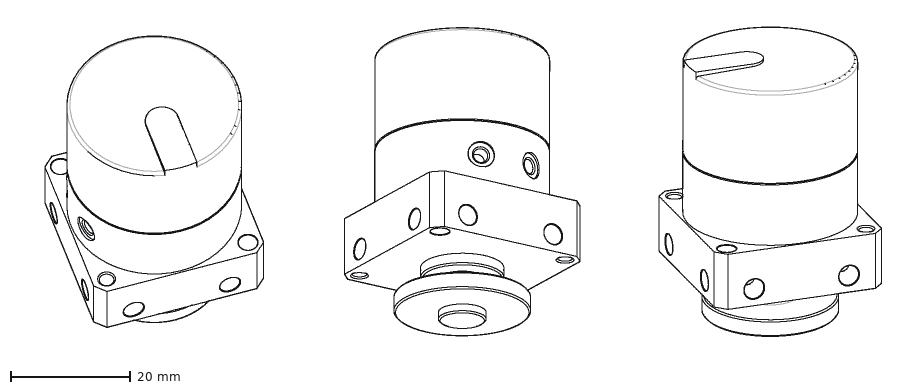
import cadquery as cq
import math

SHAFT_DIA = 8.0
SHAFT_TOP_Z = 7.5
SHAFT_END_CHAMFER = 0.3
FLANGE_DIA = 23.0
FLANGE_BOTTOM_Z = 1.5
FLANGE_TOP_Z = 4.5
FLANGE_CHAMFER = 0.3
FLANGE_FILLET = 0.6

COLLAR_DIA = 14.0
COLLAR_CHAMFER = 0.3
BASE_BOTTOM_Z = 9.45
BASE_SIDE = 30.0
BASE_HEIGHT = 10.0
BASE_CORNER_CHAMFER = 1.8
BASE_TOP_Z = BASE_BOTTOM_Z + BASE_HEIGHT
BARREL_DIA = 29.4
BARREL_RADIUS = BARREL_DIA / 2
RING_HEIGHT = 11.1
GROOVE_Z = BASE_TOP_Z + RING_HEIGHT
GROOVE_DEPTH = 0.15
CAP_EDGE_Z = 46.65
CAP_ROUND = 0.55
CAP_RIM_Z = CAP_EDGE_Z + CAP_ROUND
CAP_APEX_Z = 47.7

POINTER_TOP_Z = 48.0
POINTER_WIDTH = 5.65
POINTER_TIP_X = 1.4

CORNER_HOLE_OFFSET = 12.5
THREADED_HOLE_DIA = 2.45
THREADED_HOLE_MOUTH_DIA = 3.0
CLEARANCE_HOLE_DIA = 3.2
CLEARANCE_HOLE_MOUTH_DIA = 3.4
CROSS_HOLE_OFFSET = 8.5
CROSS_HOLE_Z = BASE_BOTTOM_Z + 3.0
CROSS_HOLE_DIA = 3.5
CROSS_HOLE_MOUTH_DIA = 3.75

PORT_ANGLE = 20.0
PORT_Z = BASE_TOP_Z + 5.05
PORT_SEAT_DIA = 4.5
PORT_SEAT_DEPTH = 0.5
PORT_DIA = 2.45
PORT_MOUTH_DIA = 3.0
PORT_DEPTH = 3.0


def make_shaft():
    """Shaft with a round flange, resting against the underside of the collar."""
    radius = SHAFT_DIA / 2
    end_radius = radius - SHAFT_END_CHAMFER
    flange_radius = FLANGE_DIA / 2
    flange_face_radius = flange_radius - FLANGE_CHAMFER
    fillet_reach = FLANGE_FILLET * (1 - math.sqrt(0.5))
    return (
        cq.Workplane("XZ")
        .moveTo(0, 0)
        .lineTo(end_radius, 0)
        .lineTo(radius, SHAFT_END_CHAMFER)
        .lineTo(radius, FLANGE_BOTTOM_Z)
        .lineTo(flange_face_radius, FLANGE_BOTTOM_Z)
        .lineTo(flange_radius, FLANGE_BOTTOM_Z + FLANGE_CHAMFER)
        .lineTo(flange_radius, FLANGE_TOP_Z - FLANGE_CHAMFER)
        .lineTo(flange_face_radius, FLANGE_TOP_Z)
        .lineTo(radius + FLANGE_FILLET, FLANGE_TOP_Z)
        .threePointArc(
            (radius + fillet_reach, FLANGE_TOP_Z + fillet_reach),
            (radius, FLANGE_TOP_Z + FLANGE_FILLET),
        )
        .lineTo(radius, SHAFT_TOP_Z - SHAFT_END_CHAMFER)
        .lineTo(end_radius, SHAFT_TOP_Z)
        .lineTo(0, SHAFT_TOP_Z)
        .close()
        .revolve(360, (0, 0, 0), (0, 1, 0))
    )


def make_hole(diameter, length, mouth_diameter):
    """Cutter along +Z from the origin, with a 45 degree countersink at its start."""
    radius = diameter / 2
    mouth_radius = mouth_diameter / 2
    return (
        cq.Workplane("XZ")
        .moveTo(0, 0)
        .lineTo(mouth_radius, 0)
        .lineTo(radius, mouth_radius - radius)
        .lineTo(radius, length)
        .lineTo(0, length)
        .close()
        .revolve(360, (0, 0, 0), (0, 1, 0))
    )


def make_through_hole(diameter, length, mouth_diameter):
    """Cutter centred on the origin along Z, countersunk at both ends."""
    half = make_hole(diameter, length / 2, mouth_diameter).translate((0, 0, -length / 2))
    return half.union(half.mirror("XY"))


def make_base():
    """Square block with chamfered corners, corner holes and cross holes."""
    base = (
        cq.Workplane("XY")
        .workplane(offset=BASE_BOTTOM_Z)
        .rect(BASE_SIDE, BASE_SIDE)
        .extrude(BASE_HEIGHT)
        .edges("|Z")
        .chamfer(BASE_CORNER_CHAMFER)
    )

    middle_z = BASE_BOTTOM_Z + BASE_HEIGHT / 2
    threaded = make_through_hole(THREADED_HOLE_DIA, BASE_HEIGHT, THREADED_HOLE_MOUTH_DIA)
    clearance = make_through_hole(CLEARANCE_HOLE_DIA, BASE_HEIGHT, CLEARANCE_HOLE_MOUTH_DIA)
    for side in (-1, 1):
        x = side * CORNER_HOLE_OFFSET
        base = base.cut(threaded.translate((x, -x, middle_z)))
        base = base.cut(clearance.translate((x, x, middle_z)))

    cross = make_through_hole(CROSS_HOLE_DIA, BASE_SIDE, CROSS_HOLE_MOUTH_DIA)
    along_x = cross.rotate((0, 0, 0), (0, 1, 0), 90)
    along_y = cross.rotate((0, 0, 0), (1, 0, 0), 90)
    for side in (-1, 1):
        offset = side * CROSS_HOLE_OFFSET
        base = base.cut(along_x.translate((0, offset, CROSS_HOLE_Z)))
        base = base.cut(along_y.translate((offset, 0, CROSS_HOLE_Z)))
    return base


def make_collar():
    """Round boss under the base that the shaft rests against."""
    return (
        cq.Workplane("XY")
        .workplane(offset=SHAFT_TOP_Z)
        .circle(COLLAR_DIA / 2)
        .extrude(BASE_BOTTOM_Z - SHAFT_TOP_Z)
        .faces("<Z")
        .edges()
        .chamfer(COLLAR_CHAMFER)
    )


def make_barrel():
    """Ring and cap with a V groove between them and a shallow cone on top."""
    round_reach = CAP_ROUND * (1 - math.sqrt(0.5))
    return (
        cq.Workplane("XZ")
        .moveTo(0, BASE_TOP_Z)
        .lineTo(BARREL_RADIUS, BASE_TOP_Z)
        .lineTo(BARREL_RADIUS, GROOVE_Z - GROOVE_DEPTH)
        .lineTo(BARREL_RADIUS - GROOVE_DEPTH, GROOVE_Z)
        .lineTo(BARREL_RADIUS, GROOVE_Z + GROOVE_DEPTH)
        .lineTo(BARREL_RADIUS, CAP_EDGE_Z)
        .threePointArc(
            (BARREL_RADIUS - round_reach, CAP_RIM_Z - round_reach),
            (BARREL_RADIUS - CAP_ROUND, CAP_RIM_Z),
        )
        .lineTo(0, CAP_APEX_Z)
        .close()
        .revolve(360, (0, 0, 0), (0, 1, 0))
    )


def make_pointer():
    """Flat bar with a round tip near the axis, ending flush with the cap wall."""
    height = POINTER_TOP_Z - CAP_EDGE_Z
    tip_radius = POINTER_WIDTH / 2
    tip_centre_x = POINTER_TIP_X + tip_radius
    plane = cq.Workplane("XY").workplane(offset=CAP_EDGE_Z)
    bar = (
        plane.moveTo(BARREL_DIA, tip_radius)
        .lineTo(tip_centre_x, tip_radius)
        .threePointArc((POINTER_TIP_X, 0), (tip_centre_x, -tip_radius))
        .lineTo(BARREL_DIA, -tip_radius)
        .close()
        .extrude(height)
    )
    return bar.intersect(plane.circle(BARREL_RADIUS).extrude(height))


def make_port():
    """Port cutter on the -Y side: flat seat, countersink and blind hole."""
    seat = cq.Workplane("XY").circle(PORT_SEAT_DIA / 2).extrude(-BARREL_RADIUS / 2)
    hole = make_hole(PORT_DIA, PORT_DEPTH, PORT_MOUTH_DIA)
    return (
        seat.union(hole)
        .rotate((0, 0, 0), (1, 0, 0), -90)
        .translate((0, PORT_SEAT_DEPTH - BARREL_RADIUS, PORT_Z))
    )


def make_housing():
    """Collar, base, barrel and pointer as one solid, with the two ports cut in."""
    housing = make_base().union(make_collar()).union(make_barrel()).union(make_pointer())
    port = make_port()
    for angle in (-PORT_ANGLE, PORT_ANGLE):
        housing = housing.cut(port.rotate((0, 0, 0), (0, 0, 1), angle))
    return housing


housing = make_housing()
shaft = make_shaft()
result = cq.Compound.makeCompound([housing.val(), shaft.val()])